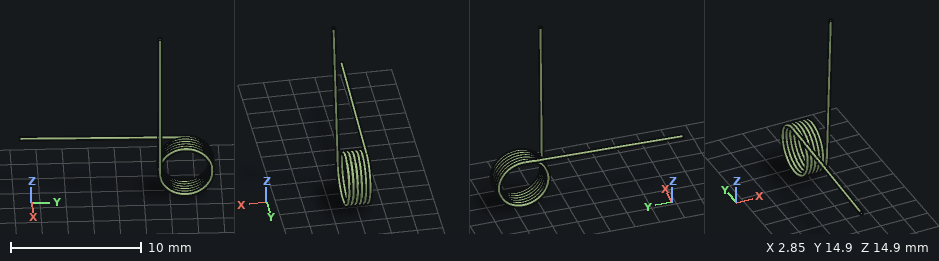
import cadquery as cq
import math

wire_diameter = 0.3
coil_outer_diameter = 4.34
overall_length = 14.87
overall_width = 2.85
turns = 5.75

wire_radius = wire_diameter / 2
coil_radius = (coil_outer_diameter - wire_diameter) / 2
leg_reach = overall_length - coil_outer_diameter / 2

turn_length = 2 * math.pi * coil_radius
pitch = (overall_width - wire_diameter) / (turns + 2 * leg_reach / turn_length)
lead_slope = pitch / turn_length
coil_length = pitch * turns
leg_length = leg_reach * math.hypot(1, lead_slope) - wire_radius * lead_slope


def make_coil():
    """Left-hand coil from the top of the first turn to the -Y side of the last."""
    path = cq.Wire.makeHelix(pitch, coil_length, coil_radius, lefthand=True)
    path = path.rotate(cq.Vector(0, 0, 0), cq.Vector(0, 1, 0), 90)
    path = path.rotate(cq.Vector(0, 0, 0), cq.Vector(1, 0, 0), 180)
    path = path.translate(cq.Vector(-coil_length / 2, 0, 0))
    start_plane = cq.Plane(
        origin=(-coil_length / 2, 0, coil_radius),
        xDir=(0, 0, 1),
        normal=(lead_slope, 1, 0),
    )
    return cq.Workplane(start_plane).circle(wire_radius).sweep(path, isFrenet=True)


def make_leg(start, direction):
    """Straight round leg running from a coil end."""
    leg = cq.Solid.makeCylinder(wire_radius, leg_length, cq.Vector(*start), cq.Vector(*direction))
    return cq.Workplane(leg)


first_leg = make_leg((-coil_length / 2, 0, coil_radius), (-lead_slope, -1, 0))
last_leg = make_leg((coil_length / 2, -coil_radius, 0), (lead_slope, 0, 1))

result = make_coil().union(first_leg).union(last_leg)